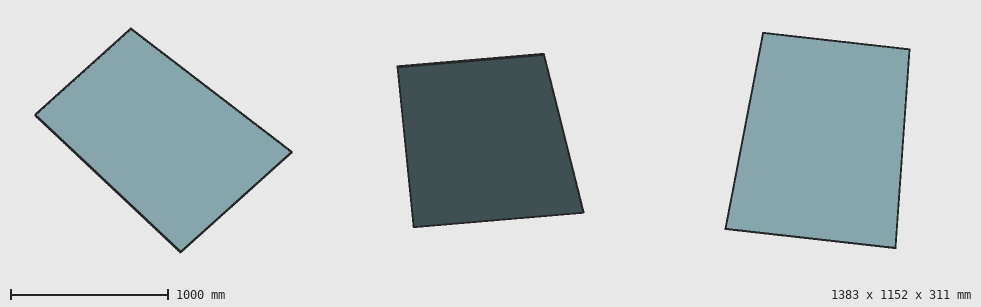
import cadquery as cq

height = 311.0
thickness = 10.2
undercut = 2.4

left_front_x, left_front_y = 109.0, 0.0
left_back_x, left_back_y = 0.0, 929.0
right_front_x, right_front_y = 1383.0, 73.0
right_back_y = 1152.0

edge_lean = (left_back_x - left_front_x) / (left_back_y - left_front_y)
right_back_x = right_front_x + edge_lean * (right_back_y - right_front_y)

underside_drop = height - thickness
span = right_front_x - left_front_x - edge_lean * (right_front_y - left_front_y)
upper_drop = underside_drop * span / (span - undercut)


def along_edge(start, end, distance_short):
    """Point on the line from start to end, short of the end by a share of the panel's span."""
    return start + (end - start) * (1 - distance_short / span)


left_front = cq.Vector(left_front_x, left_front_y, height)
left_back = cq.Vector(left_back_x, left_back_y, height)
right_front = cq.Vector(right_front_x, right_front_y, height - upper_drop)
right_back = cq.Vector(right_back_x, right_back_y, height - upper_drop)
down = cq.Vector(0, 0, -thickness)

upper_corners = [left_front, right_front, right_back, left_back]
underside_corners = [
    left_front + down,
    along_edge(left_front, right_front, undercut) + down,
    along_edge(left_back, right_back, undercut) + down,
    left_back + down,
]

underside = cq.Wire.makePolygon(underside_corners, close=True)
upper_face = cq.Wire.makePolygon(upper_corners, close=True)
panel = cq.Solid.makeLoft([underside, upper_face], ruled=True)
result = cq.Workplane("XY").newObject([panel])